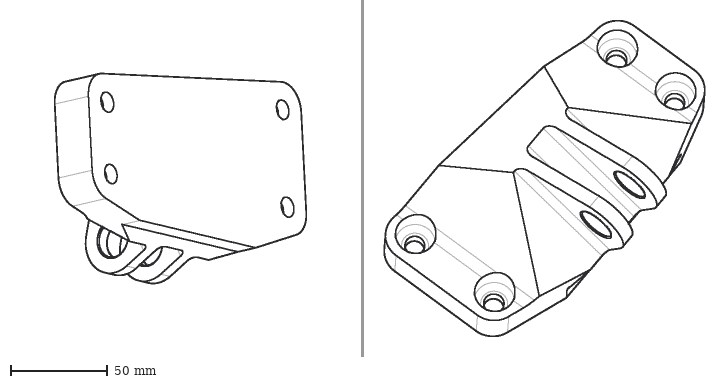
import cadquery as cq
import math

TILT_ABOUT_Y = 41.3
TILT_ABOUT_X = -41.5

BASE_LENGTH = 178.5
LEFT_CORNER_LOW = -24.0
LEFT_CORNER_HIGH = -45.9
RIGHT_SIDE = 49.2
RIGHT_CORNER_LOW = (38.7, -BASE_LENGTH / 2)
RIGHT_BEND_LOW = (RIGHT_SIDE, -51.5)
RIGHT_BEND_HIGH = (RIGHT_SIDE, 45.3)
RIGHT_CORNER_HIGH = (33.7, BASE_LENGTH / 2)
CORNER_RADIUS = 14.0

PAD_DEPTH = 22.5
PAD_SLOPE_START = 67.8
SLOPE_ANGLE = 30.2
PAD_FILLET = 12.7
SIDE_DEPTH = 11.8
FLOOR_ANGLE = 25.1
FLOOR_DEPTH = 46.2

PIN_X = 45.9
PIN_Z = -44.5
PIN_DIAMETER = 19.1
PIN_CHAMFER = 0.7
TIP_RADIUS = 18.0
LEFT_EDGE_ANGLE = 16.3
LUG_THICKNESS = 8.0
LUG_ROOT = -17.4
SLOT_WIDTH = 20.5
SLOT_EXTRA_DEPTH = 2.5
LUG_FILLET = 4.0

BOLT_Y = 73.7
BOLTS = [(-29.0, 1, 10.2), (23.1, 1, 10.6), (-10.6, -1, 10.6), (27.8, -1, 10.2)]
COUNTERBORE_DIAMETER = 21.0
COUNTERBORE_FLOOR = 7
COUNTERBORE_FILLET = 3.5

FAR = 347.5


def line_crossing(p, p_dir, q, q_dir):
    """Point where the line through p meets the line through q."""
    cross = p_dir[0] * q_dir[1] - p_dir[1] * q_dir[0]
    along = ((q[0] - p[0]) * q_dir[1] - (q[1] - p[1]) * q_dir[0]) / cross
    return p[0] + along * p_dir[0], p[1] + along * p_dir[1]


def difference(start, end):
    return end[0] - start[0], end[1] - start[1]


def direction(angle):
    return math.cos(math.radians(angle)), math.sin(math.radians(angle))


def tip_point(angle):
    along = direction(angle)
    return PIN_X + TIP_RADIUS * along[0], PIN_Z + TIP_RADIUS * along[1]


def left_edge_point(x):
    drop = (x - left_tangent[0]) * math.tan(math.radians(LEFT_EDGE_ANGLE))
    return x, left_tangent[1] - drop


def across(outline, y_low, y_high):
    """Solid with a closed XZ outline between two Y positions."""
    return outline.extrude(y_low - y_high).translate((0, y_low, 0))


def xz_plane():
    return cq.Workplane("XZ")


side_foot = (RIGHT_SIDE, -SIDE_DEPTH)
foot_to_pin = difference(side_foot, (PIN_X, PIN_Z))
foot_bearing = math.degrees(math.atan2(foot_to_pin[1], foot_to_pin[0]))
tangent_turn = math.degrees(math.asin(TIP_RADIUS / math.hypot(*foot_to_pin)))
right_edge_angle = foot_bearing + tangent_turn
right_tangent = tip_point(right_edge_angle + 90)
left_edge_normal = -90 - LEFT_EDGE_ANGLE
left_tangent = tip_point(left_edge_normal)
tip_bottom = tip_point((left_edge_normal + right_edge_angle + 90) / 2)
left_edge_dir = direction(-LEFT_EDGE_ANGLE)
left_far = left_edge_point(-FAR)
lug_root_edge = left_edge_point(LUG_ROOT)


def make_plan():
    """Base outline; its right sides run on to a point so the body can flare."""
    half = BASE_LENGTH / 2
    nose = line_crossing(
        RIGHT_CORNER_LOW, difference(RIGHT_CORNER_LOW, RIGHT_BEND_LOW),
        RIGHT_CORNER_HIGH, difference(RIGHT_CORNER_HIGH, RIGHT_BEND_HIGH),
    )
    corners = [(LEFT_CORNER_LOW, -half), RIGHT_CORNER_LOW, nose, RIGHT_CORNER_HIGH, (LEFT_CORNER_HIGH, half)]
    plan = cq.Workplane("XY").polyline(corners).close().extrude(-FAR)
    return plan.edges("|Z").edges("<Y or >Y").fillet(CORNER_RADIUS)


def make_cross_section(floor_raise):
    """Body section: left edge, sloping floor and flared right edge."""
    floor_point = (0, -FLOOR_DEPTH + floor_raise)
    floor_dir = direction(FLOOR_ANGLE)
    ridge = line_crossing(left_tangent, left_edge_dir, floor_point, floor_dir)
    brim = line_crossing(side_foot, direction(right_edge_angle), floor_point, floor_dir)
    outline = xz_plane().polyline([(-FAR, 0), left_far, ridge, brim, side_foot, (RIGHT_SIDE, 0)]).close()
    return across(outline, -FAR, FAR)


def make_end_slopes():
    """Flat pads at both ends, blended into slopes that deepen to the middle."""
    half = BASE_LENGTH / 2
    apex = (0, -PAD_DEPTH - PAD_SLOPE_START * math.tan(math.radians(SLOPE_ANGLE)))
    outline = [
        (-half, 0), (-half, -PAD_DEPTH), (-PAD_SLOPE_START, -PAD_DEPTH), apex,
        (PAD_SLOPE_START, -PAD_DEPTH), (half, -PAD_DEPTH), (half, 0),
    ]
    profile = cq.Workplane("YZ").polyline(outline).close().extrude(FAR, both=True)
    blend_edges = profile.edges("|X").filter(
        lambda edge: abs(abs(edge.Center().y) - PAD_SLOPE_START) < 0.02
    )
    return profile.newObject(blend_edges.vals()).fillet(PAD_FILLET)


def clevis_outline():
    """Outline tapering from inside the base to the rounded tip."""
    return (
        xz_plane().polyline([(LUG_ROOT, 0), lug_root_edge, left_tangent])
        .threePointArc(tip_bottom, right_tangent).lineTo(*side_foot)
        .lineTo(RIGHT_SIDE, 0).close()
    )


def make_root_fillet(wall_y, outward, floor_raise):
    """Concave strip between a lug wall and the sloping floor."""
    floor_frame = cq.Plane(
        origin=(0, wall_y, -FLOOR_DEPTH + floor_raise),
        xDir=(0, outward, 0),
        normal=(math.cos(math.radians(FLOOR_ANGLE)), 0, math.sin(math.radians(FLOOR_ANGLE))),
    )
    down = -outward
    r = LUG_FILLET
    mid = r * (1 - math.sqrt(0.5))
    return (
        cq.Workplane(floor_frame).moveTo(0, 0).lineTo(r, 0)
        .threePointArc((mid, mid * down), (0, r * down)).close()
        .extrude(FAR, both=True)
    )


def make_pin_hole(y_low):
    """Cutter for the pin hole of one lug, widened by a chamfer at both faces."""
    y_high = y_low + LUG_THICKNESS
    bore = PIN_DIAMETER / 2
    rim = bore + PIN_CHAMFER
    half_profile = [
        (0, y_low), (rim, y_low), (bore, y_low + PIN_CHAMFER),
        (bore, y_high - PIN_CHAMFER), (rim, y_high), (0, y_high),
    ]
    cutter = cq.Workplane("XY").polyline(half_profile).close().revolve(360, (0, 0, 0), (0, 1, 0))
    return cutter.translate((PIN_X, 0, PIN_Z))


def make_bolt_hole(x, y, diameter):
    """Cutter for a bolt hole with a round-bottomed counterbore from below."""
    spot = cq.Workplane("XY").center(x, y)
    counterbore = spot.workplane(offset=-COUNTERBORE_FLOOR).circle(COUNTERBORE_DIAMETER / 2).extrude(-FAR)
    counterbore = counterbore.faces(">Z").edges().fillet(COUNTERBORE_FILLET)
    return counterbore.union(spot.circle(diameter / 2).extrude(-FAR))


slot_half = SLOT_WIDTH / 2
clevis_half = slot_half + LUG_THICKNESS
plan = make_plan()
body = plan.intersect(make_cross_section(0)).intersect(make_end_slopes())

slot_floor = -FLOOR_DEPTH + SLOT_EXTRA_DEPTH
rise = FAR * math.tan(math.radians(FLOOR_ANGLE))
slot_outline = [(-FAR, slot_floor - rise), (FAR, slot_floor + rise), (FAR, -2 * FAR), (-FAR, -2 * FAR)]
body = body.cut(across(xz_plane().polyline(slot_outline).close(), -slot_half, slot_half))

clevis_section = across(clevis_outline(), -clevis_half - LUG_FILLET, clevis_half + LUG_FILLET)
for side in (-1, 1):
    y_low = side * (slot_half + LUG_THICKNESS / 2) - LUG_THICKNESS / 2
    body = body.union(across(clevis_outline(), y_low, y_low + LUG_THICKNESS))
    for wall, out, raised in ((clevis_half, side, 0), (slot_half, -side, SLOT_EXTRA_DEPTH)):
        body = body.union(make_root_fillet(side * wall, out, raised).intersect(clevis_section))

for side in (-1, 1):
    y_low = side * (slot_half + LUG_THICKNESS / 2) - LUG_THICKNESS / 2
    body = body.cut(make_pin_hole(y_low))
for x, side, diameter in BOLTS:
    body = body.cut(make_bolt_hole(x, side * BOLT_Y, diameter))

origin = (0, 0, 0)
result = body.rotate(origin, (0, 1, 0), TILT_ABOUT_Y).rotate(origin, (1, 0, 0), TILT_ABOUT_X)